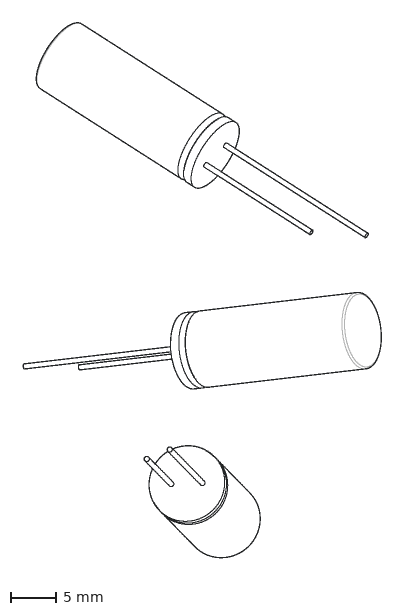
import cadquery as cq

total_length = 42.0
can_length = 22.0
can_diameter = 8.5
can_radius = can_diameter / 2
end_fillet = 0.2

groove_radius = 0.4
groove_to_lead_end = 1.45
groove_position = can_length - groove_to_lead_end

lead_diameter = 0.6
lead_pitch = 3.5
lead_step = 5.0
long_lead_length = total_length - can_length
short_lead_length = long_lead_length - lead_step


def make_can():
    """Solid can: a revolved outline with a half-round crimp groove."""
    groove_start = groove_position - groove_radius
    groove_end = groove_position + groove_radius
    groove_bottom = can_radius - groove_radius
    outline = (
        cq.Workplane("XY")
        .moveTo(0, 0)
        .lineTo(0, can_radius)
        .lineTo(groove_start, can_radius)
        .threePointArc((groove_position, groove_bottom), (groove_end, can_radius))
        .lineTo(can_length, can_radius)
        .lineTo(can_length, 0)
        .close()
    )
    can = outline.revolve(360, (0, 0, 0), (1, 0, 0))
    return can.faces("<X").edges().fillet(end_fillet)


def make_lead(side, length):
    """Round wire lead standing on the flat end of the can."""
    start = cq.Workplane("YZ", origin=(can_length, side * lead_pitch / 2, 0))
    return start.circle(lead_diameter / 2).extrude(length)


can = make_can()
leads = [
    make_lead(side, length)
    for side, length in ((1, long_lead_length), (-1, short_lead_length))
]

result = cq.Compound.makeCompound([can.val(), *[lead.val() for lead in leads]])